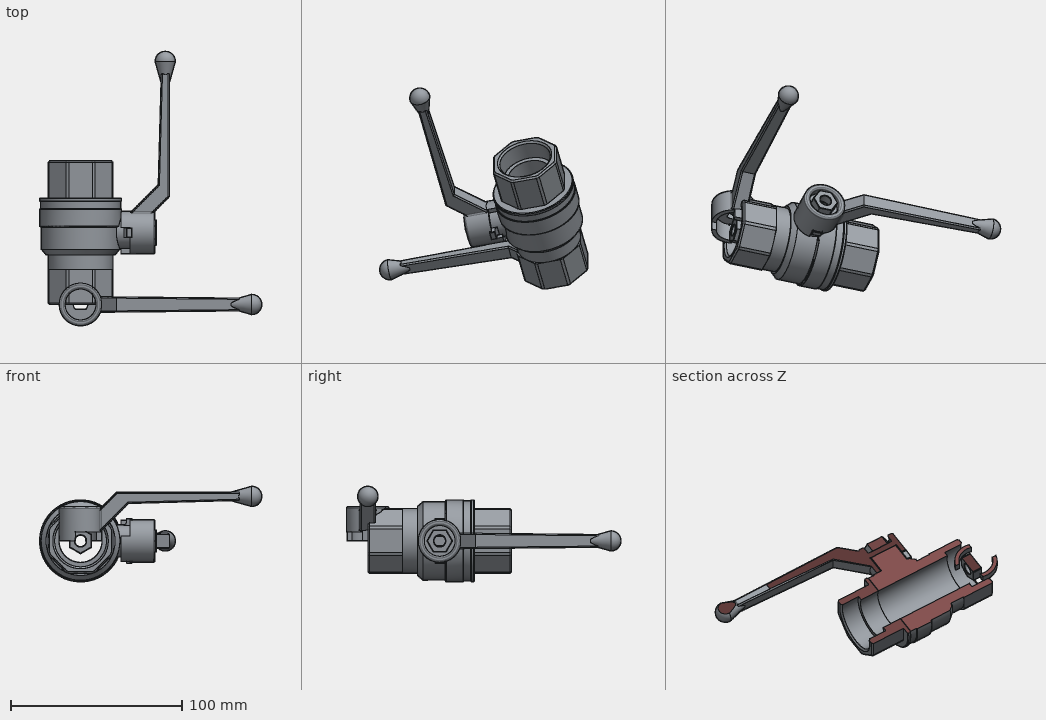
import cadquery as cq
import math


half_length = 42.0
bore_d = 25.0
thread_d = 30.29
thread_mouth_d = 32.5
thread_depth = 12.0
octagon_flats = 38.0
octagon_corner_d = 40.4
end_chamfer = 1.0
rear_octagon_y = 20.3
collar_y = 18.1
band_y = 14.0
band_front_y = 4.0
cone_rear_y = -9.75
cone_front_y = -13.0
front_octagon_y = -21.6
band_d = 48.0
collar_chamfer = 0.5
band_chamfer = 0.4
groove_d = 47.0
barrel_d = 46.0
cone_small_d = 40.4
front_sleeve_d = 38.0

neck_d = 19.0
handle_base_x = 23.5
tab_width = 5.6
tab_reach = 13.2
tab_start_x = 26.8
tab_end_x = 30.1
tab_root_fillet = 1.5
tab_chamfer = 0.3
tab_root_depth = 1.0

hub_d = 25.0
hub_height = 20.0
hub_fillet = 1.0
skirt_bore_d = 19.6
skirt_bore_depth = 11.5
recess_d = 18.0
recess_fillet = 1.0
recess_floor = 15.0
stem_hole_d = 8.3
stem_hole_flats = 5.3
notch_depth = 5.3
notch_offset = 3.0
lever_length = 100.0
lever_root_x = 10.5
lever_top = 28.5
lever_bottom_bend = 21.8
lever_bottom_tip = 23.6
arm_top_offset = 7.5
arm_bottom_offset = -6.2
lever_tip_x = 93.0
lever_root_width = 9.2
lever_tip_width = 7.6
lever_chamfer = 0.8
lever_root_fillet = 1.0
knob_r = 6.0
knob_z = 26.0
knob_cone_length = 12.0
knob_cone_tip_r = 2.6

nut_flats = 13.0
nut_height = 6.0
nut_hole_d = 6.65
nut_chamfer = 0.3


def turned(points):
    """Solid turned about Y from an outline of (radius, y) points."""
    return cq.Workplane("XY").polyline(points).close().revolve(360, (0, 0, 0), (0, 1, 0))


def octagon_end(inner_y, outer_y):
    """Octagon with trimmed corners from inner_y to the chamfered end at outer_y."""
    length = abs(outer_y - inner_y)
    normal_y = math.copysign(1, outer_y)
    plane = cq.Plane(origin=(0, inner_y, 0), xDir=(1, 0, 0), normal=(0, normal_y, 0))
    half_side_angle = 180 / 8
    across_corners = octagon_flats / math.cos(math.radians(half_side_angle))
    octagon = (
        cq.Workplane(plane)
        .transformed(rotate=(0, 0, half_side_angle))
        .polygon(8, across_corners)
        .extrude(length)
    )
    corner_trim = cq.Workplane(plane).circle(octagon_corner_d / 2).extrude(length)
    end_face = ">Y" if normal_y > 0 else "<Y"
    return octagon.intersect(corner_trim).faces(end_face).chamfer(end_chamfer)


def threaded_mouth(end_y):
    """Thread bore with a chamfered mouth, to be cut at the end face end_y."""
    side = math.copysign(1, end_y)
    mouth_y = end_y - side * (thread_mouth_d - thread_d) / 2
    bottom_y = end_y - side * thread_depth
    return turned([
        (0, end_y),
        (thread_mouth_d / 2, end_y),
        (thread_d / 2, mouth_y),
        (thread_d / 2, bottom_y),
        (0, bottom_y),
    ])


def through_bore():
    plane = cq.Plane(origin=(0, -half_length, 0), xDir=(1, 0, 0), normal=(0, 1, 0))
    return cq.Workplane(plane).circle(bore_d / 2).extrude(2 * half_length)


def stop_tab():
    """Tab on the upper side of the stem neck."""
    neck_r = neck_d / 2
    root_z = neck_r - tab_root_depth
    return (
        cq.Workplane("XZ")
        .moveTo(tab_start_x - tab_root_fillet, root_z)
        .lineTo(tab_start_x - tab_root_fillet, neck_r)
        .radiusArc((tab_start_x, neck_r + tab_root_fillet), -tab_root_fillet)
        .lineTo(tab_start_x, tab_reach)
        .lineTo(tab_end_x, tab_reach)
        .lineTo(tab_end_x, root_z)
        .close()
        .extrude(tab_width / 2, both=True)
        .faces(">Z")
        .edges()
        .chamfer(tab_chamfer)
    )


def make_housing():
    step_round = (band_d - barrel_d) / 4
    barrel = (
        cq.Workplane("XY")
        .moveTo(0, collar_y)
        .lineTo(groove_d / 2, collar_y)
        .lineTo(groove_d / 2, band_y)
        .lineTo(band_d / 2 - band_chamfer, band_y)
        .lineTo(band_d / 2, band_y - band_chamfer)
        .lineTo(band_d / 2, band_front_y)
        .radiusArc((band_d / 2 - step_round, band_front_y - step_round), step_round)
        .radiusArc((barrel_d / 2, band_front_y - 2 * step_round), -step_round)
        .lineTo(barrel_d / 2, cone_rear_y)
        .lineTo(cone_small_d / 2, cone_front_y)
        .lineTo(front_sleeve_d / 2, cone_front_y)
        .lineTo(front_sleeve_d / 2, front_octagon_y)
        .lineTo(0, front_octagon_y)
        .close()
        .revolve(360, (0, 0, 0), (0, 1, 0))
    )
    neck_end_x = handle_base_x + skirt_bore_depth
    neck = cq.Workplane("YZ").circle(neck_d / 2).extrude(neck_end_x)
    upper_tab = stop_tab()
    lower_tab = upper_tab.mirror("XY")
    outside = barrel.union(octagon_end(front_octagon_y, -half_length))
    outside = outside.union(neck).union(upper_tab).union(lower_tab)
    return outside.cut(through_bore()).cut(threaded_mouth(-half_length))


def make_connector():
    collar = turned([
        (0, collar_y),
        (band_d / 2 - collar_chamfer, collar_y),
        (band_d / 2, collar_y + collar_chamfer),
        (band_d / 2, rear_octagon_y - collar_chamfer),
        (band_d / 2 - collar_chamfer, rear_octagon_y),
        (0, rear_octagon_y),
    ])
    outside = collar.union(octagon_end(rear_octagon_y, half_length))
    return outside.cut(through_bore()).cut(threaded_mouth(half_length))


def make_lever():
    """Cranked, tapering lever bar with chamfered edges."""
    side_shape = (
        cq.Workplane("XZ")
        .polyline([
            (lever_root_x, lever_root_x + arm_bottom_offset),
            (lever_root_x, lever_root_x + arm_top_offset),
            (lever_top - arm_top_offset, lever_top),
            (lever_tip_x, lever_top),
            (lever_tip_x, lever_bottom_tip),
            (lever_bottom_bend - arm_bottom_offset, lever_bottom_bend),
        ])
        .close()
        .extrude(lever_root_width, both=True)
    )
    hub_r = hub_d / 2
    fillet_y = lever_root_width / 2 + lever_root_fillet
    fillet_x = math.sqrt((hub_r + lever_root_fillet) ** 2 - fillet_y ** 2)
    hub_ratio = hub_r / (hub_r + lever_root_fillet)
    hub_tangent_x = fillet_x * hub_ratio
    hub_tangent_y = fillet_y * hub_ratio
    plan_shape = (
        cq.Workplane("XY")
        .moveTo(lever_root_x, -hub_tangent_y)
        .lineTo(hub_tangent_x, -hub_tangent_y)
        .radiusArc((fillet_x, -lever_root_width / 2), lever_root_fillet)
        .lineTo(lever_tip_x, -lever_tip_width / 2)
        .lineTo(lever_tip_x, lever_tip_width / 2)
        .lineTo(fillet_x, lever_root_width / 2)
        .radiusArc((hub_tangent_x, hub_tangent_y), lever_root_fillet)
        .lineTo(lever_root_x, hub_tangent_y)
        .close()
        .extrude(lever_top)
    )
    return side_shape.intersect(plan_shape).edges("not (|Y or |Z)").chamfer(lever_chamfer)


def make_knob():
    """Cone running into a half ball at the lever's end."""
    cone_tip_x = lever_length - knob_cone_length
    return (
        cq.Workplane("XZ", origin=(0, 0, knob_z))
        .moveTo(cone_tip_x, 0)
        .lineTo(cone_tip_x, knob_cone_tip_r)
        .lineTo(lever_length, knob_r)
        .radiusArc((lever_length + knob_r, 0), knob_r)
        .close()
        .revolve(360, (0, 0, 0), (1, 0, 0))
    )


def stem_hole():
    """Round hole with two flats, cut through the hub floor."""
    hole = cq.Workplane("XY").circle(stem_hole_d / 2).extrude(hub_height)
    flats = cq.Workplane("XY").rect(stem_hole_d, stem_hole_flats).extrude(hub_height)
    return hole.intersect(flats)


def skirt_notch():
    """Notch over a quarter of the skirt; its ends limit the turn against a stop tab."""
    quadrant = cq.Workplane("XY").box(hub_d, hub_d, notch_depth, centered=False)
    return quadrant.translate((-notch_offset, -notch_offset - hub_d, 0))


def make_handle():
    hub = cq.Workplane("XY").circle(hub_d / 2).extrude(hub_height)
    hub = hub.faces(">Z").edges().fillet(hub_fillet)
    handle = hub.union(make_lever()).union(make_knob())
    skirt_bore = cq.Workplane("XY").circle(skirt_bore_d / 2).extrude(skirt_bore_depth)
    recess = (
        cq.Workplane("XZ")
        .moveTo(0, recess_floor)
        .lineTo(recess_d / 2, recess_floor)
        .lineTo(recess_d / 2, hub_height - recess_fillet)
        .radiusArc((recess_d / 2 + recess_fillet, hub_height), recess_fillet)
        .lineTo(0, hub_height)
        .close()
        .revolve(360, (0, 0, 0), (0, 1, 0))
    )
    handle = handle.cut(skirt_bore).cut(recess).cut(stem_hole())
    for turn in (0, 180):
        handle = handle.cut(skirt_notch().rotate((0, 0, 0), (0, 0, 1), turn))
    return handle


def make_nut():
    across_corners = nut_flats / math.cos(math.radians(30))
    hexagon = cq.Workplane("XY").polygon(6, across_corners).extrude(nut_height)
    nut = hexagon.faces(">Z").workplane().hole(nut_hole_d)
    return nut.faces("<Z or >Z").edges().chamfer(nut_chamfer)


housing = make_housing()
connector = make_connector()

handle_planes = [
    cq.Plane(origin=(handle_base_x, 0, 0), xDir=(0, 1, 0), normal=(1, 0, 0)),
    cq.Plane(origin=(0, -half_length, 0), xDir=(1, 0, 0), normal=(0, 0, 1)),
]
nut_planes = [
    cq.Plane(origin=(handle_base_x + recess_floor, 0, 0), xDir=(0, 1, 0), normal=(1, 0, 0)),
    cq.Plane(origin=(0, -half_length, 0), xDir=(0, 0, 1), normal=(0, 1, 0)),
]

handles = []
for plane in handle_planes:
    placed = make_handle().val().moved(cq.Location(plane))
    handles.append(cq.Workplane(placed).cut(housing))

nuts = []
for plane in nut_planes:
    nuts.append(cq.Workplane(make_nut().val().moved(cq.Location(plane))))

result = cq.Compound.makeCompound([
    housing.val(),
    connector.val(),
    *[handle.val() for handle in handles],
    *[nut.val() for nut in nuts],
])